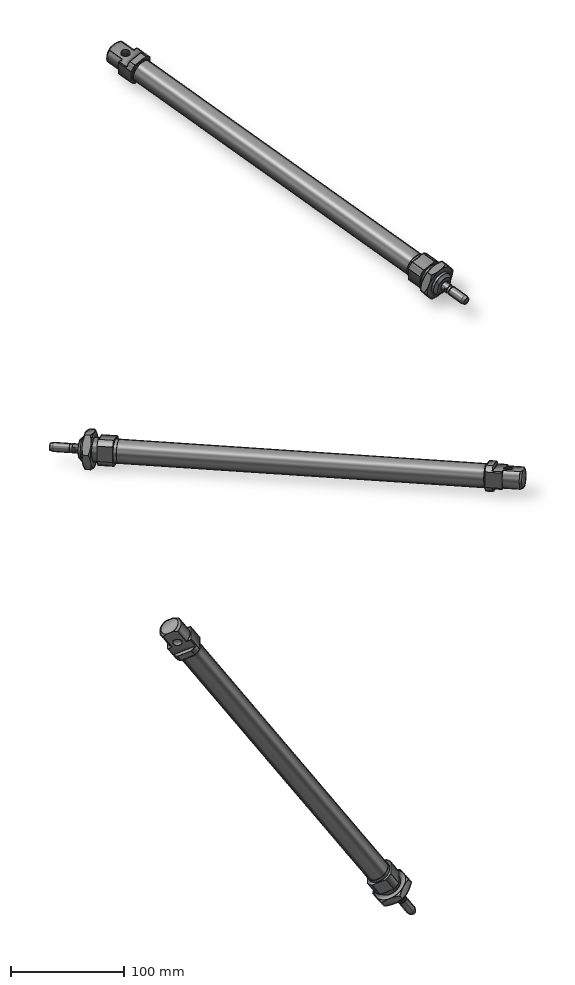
import cadquery as cq
import math


overall_length = 429.5

barrel_diameter = 21.5
collar_diameter = 28.0
end_neck_diameter = 22.0
tongue_diameter = 22.0
thread_diameter = 22.0
rod_diameter = 8.0
rod_neck_diameter = 7.5
pivot_hole_diameter = 8.0

nut_corners = 37.0
nut_flats = nut_corners * math.cos(math.pi / 6)

collar_flats = 24.0
tongue_thickness = 16.5
rod_flats = 7.0

pivot_x = 14.0
end_collar_start = 17.0
tongue_end = 26.0
end_collar_end = 32.5
barrel_start = 34.0
barrel_end = 367.2
bearing_collar_start = 370.2
bearing_collar_end = 384.5
nut_start = 389.5
nut_end = 397.5
bearing_face = 402.5
rod_flats_start = 406.5
rod_neck_start = 409.0
rod_thread_start = 411.5

tongue_chamfer_length = 1.7
tongue_chamfer_depth = 2.0
bearing_chamfer = 2.5
nut_chamfer_angle = 30.0
rod_tip_chamfer_length = 3.0
rod_tip_chamfer_depth = 1.0


def cylinder(diameter, start, end):
    """Round bar on the X axis."""
    return cq.Workplane("YZ", origin=(start, 0, 0)).circle(diameter / 2).extrude(end - start)


def box(start, end, width_y, height_z):
    """Block centred on the X axis."""
    return cq.Workplane("YZ", origin=(start, 0, 0)).rect(width_y, height_z).extrude(end - start)


def turned(profile):
    """Solid of revolution about X from (x, radius) points; the profile closes along the axis."""
    first_x = profile[0][0]
    last_x = profile[-1][0]
    outline = [(first_x, 0), *profile, (last_x, 0)]
    return cq.Workplane("XY").polyline(outline).close().revolve(360, (0, 0, 0), (1, 0, 0))


def wrench_collar(start, end):
    """Round collar with four wrench flats."""
    return cylinder(collar_diameter, start, end).intersect(box(start, end, collar_flats, collar_flats))


def make_end_cap():
    tongue_radius = tongue_diameter / 2
    round_tongue = turned(
        [
            (0, tongue_radius - tongue_chamfer_depth),
            (tongue_chamfer_length, tongue_radius),
            (end_collar_start, tongue_radius),
        ]
    )
    cap = round_tongue.union(wrench_collar(end_collar_start, end_collar_end))

    tongue_envelope = box(0, tongue_end, collar_flats, tongue_thickness)
    collar_envelope = box(tongue_end, end_collar_end, collar_flats, collar_flats)
    cap = cap.intersect(tongue_envelope.union(collar_envelope))

    cap = cap.union(cylinder(end_neck_diameter, end_collar_end, barrel_start))
    pivot_hole = (
        cq.Workplane("XY", origin=(pivot_x, 0, 0))
        .circle(pivot_hole_diameter / 2)
        .extrude(tongue_thickness, both=True)
    )
    return cap.cut(pivot_hole)


def make_barrel():
    return cylinder(barrel_diameter, barrel_start, barrel_end)


def make_bearing_cap():
    thread_radius = thread_diameter / 2
    nose = turned(
        [
            (barrel_end, thread_radius),
            (bearing_face - bearing_chamfer, thread_radius),
            (bearing_face, thread_radius - bearing_chamfer),
        ]
    )
    cap = nose.union(wrench_collar(bearing_collar_start, bearing_collar_end))
    return cap.cut(cylinder(rod_diameter, barrel_end, bearing_face))


def make_nut():
    chamfer_depth = (nut_corners - nut_flats) / 2
    chamfer_length = chamfer_depth * math.tan(math.radians(nut_chamfer_angle))
    hexagon = (
        cq.Workplane("YZ", origin=(nut_start, 0, 0)).polygon(6, nut_corners).extrude(nut_end - nut_start)
    )
    corner_cones = turned(
        [
            (nut_start, nut_flats / 2),
            (nut_start + chamfer_length, nut_corners / 2),
            (nut_end - chamfer_length, nut_corners / 2),
            (nut_end, nut_flats / 2),
        ]
    )
    return hexagon.intersect(corner_cones).cut(cylinder(thread_diameter, nut_start, nut_end))


def make_piston_rod():
    rod_radius = rod_diameter / 2
    neck_radius = rod_neck_diameter / 2
    rod = turned(
        [
            (barrel_end, rod_radius),
            (rod_neck_start, rod_radius),
            (rod_neck_start, neck_radius),
            (rod_thread_start, neck_radius),
            (rod_thread_start, rod_radius),
            (overall_length - rod_tip_chamfer_length, rod_radius),
            (overall_length, rod_radius - rod_tip_chamfer_depth),
        ]
    )
    wrench_zone = box(rod_flats_start, rod_neck_start, rod_diameter, rod_diameter)
    wrench_core = box(rod_flats_start, rod_neck_start, rod_flats, rod_diameter)
    return rod.cut(wrench_zone.cut(wrench_core))


end_cap = make_end_cap()
barrel = make_barrel()
bearing_cap = make_bearing_cap()
nut = make_nut()
piston_rod = make_piston_rod()

result = cq.Compound.makeCompound(
    [end_cap.val(), barrel.val(), bearing_cap.val(), nut.val(), piston_rod.val()]
)